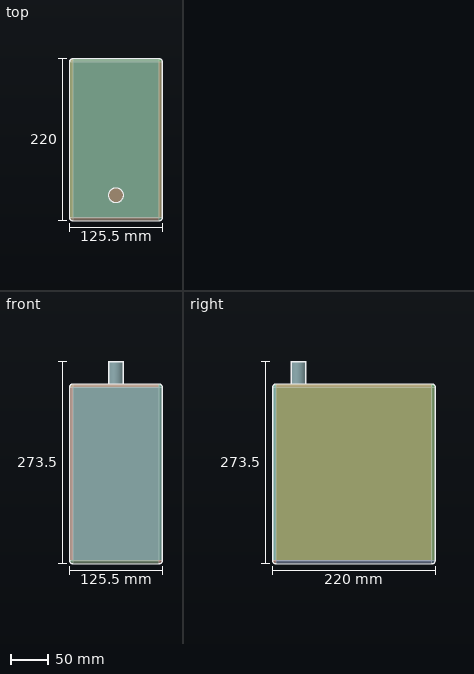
import cadquery as cq

width = 125.5
depth = 220.0
total_height = 273.5

edge_radius = 5.0
pin_diameter = 20.0
pin_height = 30.0
pin_from_front = 35.0
body_height = total_height - pin_height


def make_body():
    """Block standing on Z = 0 with every edge rounded."""
    block = cq.Workplane("XY").box(width, depth, body_height, centered=(True, True, False))
    return block.edges().fillet(edge_radius)


def make_pin():
    """Upright pin, centred across the width and close to the front face."""
    pin_y = pin_from_front - depth / 2
    return (
        cq.Workplane("XY", origin=(0, pin_y, body_height))
        .circle(pin_diameter / 2)
        .extrude(pin_height)
    )


result = make_body().union(make_pin())